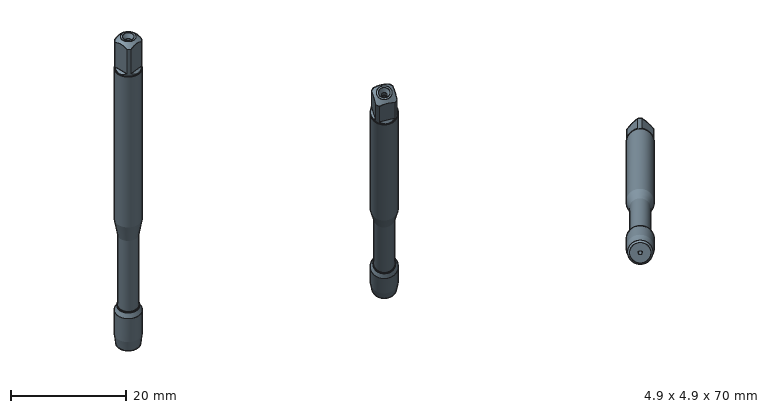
import cadquery as cq

total_length = 70.0
square_length = 7.15
shank_top = total_length - square_length
shank_chamfer_height = 0.15
runout_bottom = shank_top + shank_chamfer_height
end_chamfer_height = 0.9
taper_top = 28.55
taper_bottom = 25.0
head_top = 8.95
collar_height = 0.2
head_shoulder = 7.85
lead_top = 2.45
tip_chamfer = 0.3

shank_diameter = 4.9
neck_diameter = 3.7
square_corner_diameter = 4.75
end_face_diameter = 2.7
head_diameter = 4.9
collar_diameter = 4.0
lead_diameter = 4.4
tip_diameter = 3.7
coolant_diameter = 0.7

across_flats = 3.85
runout_size = 0.55
center_mouth_diameter = 2.0
center_pilot_diameter = 1.0
center_cone_depth = 0.85
center_pilot_depth = 1.75

shank_radius = shank_diameter / 2
corner_radius = square_corner_diameter / 2
end_face_radius = end_face_diameter / 2


def turned(profile):
    """Revolve a closed outline of (radius, height) points about Z."""
    return cq.Workplane("XZ").polyline(profile).close().revolve(360, (0, 0), (0, 1))


def flat_cutter():
    """Tool that grinds one flat on the -Y side, ending in a sloped 45 degree runout."""
    flat_y = -across_flats / 2
    outer_y = flat_y - runout_size
    clear_y = -shank_diameter
    return (
        cq.Workplane("YZ")
        .moveTo(flat_y, total_length)
        .lineTo(flat_y, runout_bottom + runout_size)
        .lineTo(outer_y, runout_bottom)
        .lineTo(clear_y, runout_bottom)
        .lineTo(clear_y, total_length)
        .close()
        .extrude(shank_radius, both=True)
    )


def center_hole():
    """Countersunk pilot in the driven end."""
    mouth_radius = center_mouth_diameter / 2
    pilot_radius = center_pilot_diameter / 2
    cone_bottom = total_length - center_cone_depth
    pilot_bottom = total_length - center_pilot_depth
    return turned([
        (0, total_length),
        (mouth_radius, total_length),
        (pilot_radius, cone_bottom),
        (pilot_radius, pilot_bottom),
        (0, pilot_bottom),
    ])


def coolant_hole():
    """Axial passage along the whole tool."""
    return cq.Workplane("XY").circle(coolant_diameter / 2).extrude(total_length)


def make_shank():
    """Shank with its driving square, taper and reduced neck."""
    body = turned([
        (0, head_top),
        (neck_diameter / 2, head_top),
        (neck_diameter / 2, taper_bottom),
        (shank_radius, taper_top),
        (shank_radius, shank_top),
        (corner_radius, shank_top + shank_chamfer_height),
        (corner_radius, total_length - end_chamfer_height),
        (end_face_radius, total_length),
        (0, total_length),
    ])
    for angle in (0, 90, 180, 270):
        body = body.cut(flat_cutter().rotate((0, 0, 0), (0, 0, 1), angle))
    return body.cut(center_hole()).cut(coolant_hole())


def make_head():
    """Working head with a short collar, shoulder chamfer, tapered lead and chamfered tip."""
    body = turned([
        (0, 0),
        (tip_diameter / 2, 0),
        (lead_diameter / 2, tip_chamfer),
        (head_diameter / 2, lead_top),
        (head_diameter / 2, head_shoulder),
        (collar_diameter / 2, head_top - collar_height),
        (collar_diameter / 2, head_top),
        (0, head_top),
    ])
    return body.cut(coolant_hole())


shank = make_shank()
head = make_head()
result = cq.Compound.makeCompound([shank.val(), head.val()])